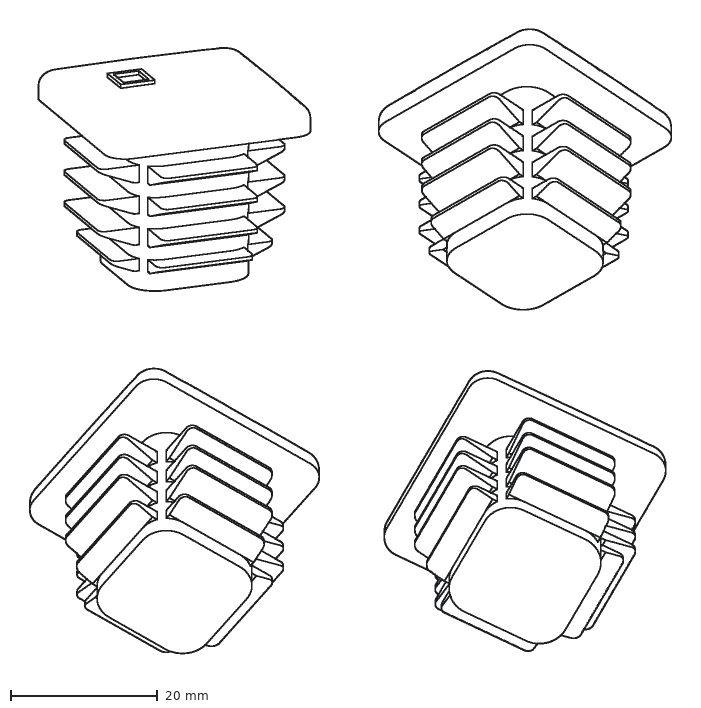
import cadquery as cq

cap_side = 30.0
cap_corner_radius = 3.0
cap_bottom = 22.0
crown_height = 26.0
crown_radius = 650.0
cap_edge_radius = 2.0

stem_side = 17.4
stem_corner_radius = 4.0
stem_faces = 4

fin_width = 14.1
fin_corner_radius = 1.0
fin_tip_thickness = 0.5
fin_slope = 0.4
fin_pitch = 4.5
fin_count = 4
long_fin_reach = 5.0
short_fin_reach = 3.15

frame_side = 5.0
frame_wall = 0.65
frame_center_x = -4.7
frame_center_y = -4.5
frame_rise = 0.5
frame_top = crown_height + frame_rise


def make_cap():
    """Rounded square plate with a slightly spherical crown and a rounded top edge."""
    blank_height = 2 * (crown_height - cap_bottom)
    blank = (
        cq.Workplane("XY", origin=(0, 0, cap_bottom))
        .rect(cap_side, cap_side)
        .extrude(blank_height)
        .edges("|Z")
        .fillet(cap_corner_radius)
    )
    crown = cq.Workplane("XY", origin=(0, 0, crown_height - crown_radius)).sphere(
        crown_radius, direct=(0, 1, 0)
    )
    return blank.intersect(crown).faces(">Z").edges().fillet(cap_edge_radius)


def make_stem():
    """Square plug with rounded corners that reaches up to the cap."""
    return (
        cq.Workplane("XY")
        .rect(stem_side, stem_side)
        .extrude(cap_bottom)
        .edges("|Z")
        .fillet(stem_corner_radius)
    )


def make_fin(top, reach):
    """Fin on the +X side: flat on top, sloping underneath from the stem face to the tip."""
    stem_face = stem_side / 2
    root = stem_face - stem_corner_radius
    tip = stem_face + reach
    root_thickness = fin_tip_thickness + fin_slope * reach
    profile = [
        (root, top),
        (tip, top),
        (tip, top - fin_tip_thickness),
        (stem_face, top - root_thickness),
        (root, top - root_thickness),
    ]
    return (
        cq.Workplane("XZ")
        .polyline(profile)
        .close()
        .extrude(fin_width / 2, both=True)
        .edges("|Z and >X")
        .fillet(fin_corner_radius)
    )


def make_frame():
    """Hollow square outline standing on the crown, flat on top."""
    opening = frame_side - 2 * frame_wall
    return (
        cq.Workplane("XY", origin=(frame_center_x, frame_center_y, cap_bottom))
        .rect(frame_side, frame_side)
        .rect(opening, opening)
        .extrude(frame_top - cap_bottom)
    )


result = make_cap().union(make_stem()).union(make_frame())

for level in range(1, fin_count + 1):
    reach = short_fin_reach if level == 1 else long_fin_reach
    fin = make_fin(level * fin_pitch, reach)
    for side in range(stem_faces):
        result = result.union(fin.rotate((0, 0, 0), (0, 0, 1), side * 360 / stem_faces))